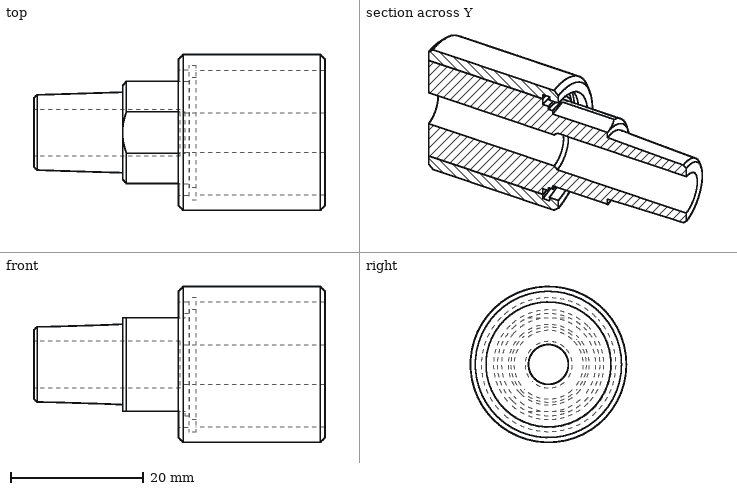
import cadquery as cq

overall_length = 44.05

nose_length = 13.45
nose_tip_diameter = 11.4
nose_chamfer = 0.5
taper_ratio = 1 / 16
collar_diameter = 15.5
collar_face_diameter = 14.25
collar_chamfer_length = 0.57
flat_spacing = 14.2
flat_end = 22.85
shoulder_diameter = 16.65
shoulder_start = 23.55
flange_start = 24.5

inlet_diameter = 7.1
bore_diameter = 6.0
inlet_depth = 22.05

sleeve_start = 21.85
sleeve_diameter = 23.6
sleeve_chamfer = 0.75
mouth_diameter = 19.05
groove_diameter = 20.3
groove_start = 23.4
seat_diameter = 18.9


def revolve_about_x(profile):
    """Revolve a closed (x, radius) outline about the X axis."""
    return cq.Workplane("XY").polyline(profile).close().revolve(360, (0, 0, 0), (1, 0, 0))


def make_stem_blank():
    tip_radius = nose_tip_diameter / 2
    root_radius = tip_radius + (nose_length - nose_chamfer) * taper_ratio / 2
    return revolve_about_x([
        (0, 0),
        (0, tip_radius - nose_chamfer),
        (nose_chamfer, tip_radius),
        (nose_length, root_radius),
        (nose_length, collar_face_diameter / 2),
        (nose_length + collar_chamfer_length, collar_diameter / 2),
        (shoulder_start, collar_diameter / 2),
        (shoulder_start, shoulder_diameter / 2),
        (flange_start, shoulder_diameter / 2),
        (flange_start, seat_diameter / 2),
        (overall_length, seat_diameter / 2),
        (overall_length, 0),
    ])


def make_stem_bore():
    cone_length = (inlet_diameter - bore_diameter) / 2
    return revolve_about_x([
        (0, 0),
        (0, inlet_diameter / 2),
        (inlet_depth, inlet_diameter / 2),
        (inlet_depth + cone_length, bore_diameter / 2),
        (overall_length, bore_diameter / 2),
        (overall_length, 0),
    ])


def make_flat_cutter(side):
    """Block that cuts one wrench flat; side is +1 above the axis and -1 below."""
    flat_length = flat_end - nose_length
    middle_x = nose_length + flat_length / 2
    middle_z = side * (flat_spacing + collar_diameter) / 4
    height = (collar_diameter - flat_spacing) / 2
    block = cq.Workplane("XY").box(flat_length, collar_diameter, height)
    return block.translate((middle_x, 0, middle_z))


def make_stem():
    stem = make_stem_blank().cut(make_stem_bore())
    for side in (1, -1):
        stem = stem.cut(make_flat_cutter(side))
    return stem


def make_sleeve_bore():
    """Open mouth, wider inner groove, then the seat that holds the flange."""
    return revolve_about_x([
        (sleeve_start, 0),
        (sleeve_start, mouth_diameter / 2),
        (groove_start, mouth_diameter / 2),
        (groove_start, groove_diameter / 2),
        (flange_start, groove_diameter / 2),
        (flange_start, seat_diameter / 2),
        (overall_length, seat_diameter / 2),
        (overall_length, 0),
    ])


def make_sleeve():
    length = overall_length - sleeve_start
    blank = cq.Workplane("YZ", origin=(sleeve_start, 0, 0)).circle(sleeve_diameter / 2).extrude(length)
    blank = blank.faces("<X or >X").chamfer(sleeve_chamfer)
    return blank.cut(make_sleeve_bore())


stem = make_stem()
sleeve = make_sleeve()
result = cq.Compound.makeCompound([stem.val(), sleeve.val()])